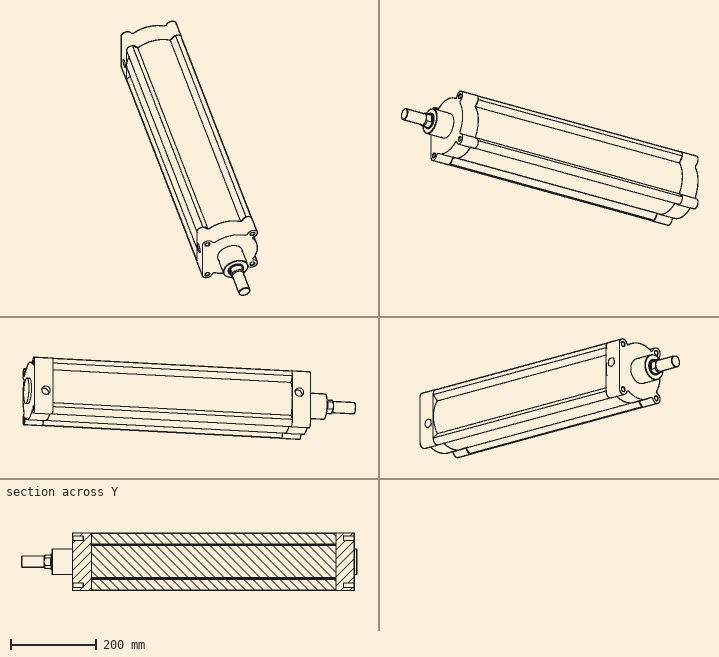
import cadquery as cq
import math


cap_length = 44.0
barrel_length = 572.0
rear_spigot_length = 6.0
front_boss_length = 47.8
collar_length = 2.0
shoulder_reach = 66.0
thread_length = 53.0

barrel_start = cap_length
front_cap_start = barrel_start + barrel_length
front_face = front_cap_start + cap_length
boss_end = front_face + front_boss_length
collar_end = boss_end + collar_length
shoulder = front_face + shoulder_reach

tie_offset = 55.0
tie_diagonal = tie_offset * math.sqrt(2)
tie_axes = [(y, z) for y in (-tie_offset, tie_offset) for z in (-tie_offset, tie_offset)]
cap_size = 135.0
cap_radius = cap_size / 2
cap_lobe_radius = cap_radius - tie_offset
cap_notch_fillet = 5.0
cap_crown = (10.3, 5.3, -5.3, -10.3)

barrel_radius = 67.0
barrel_lobe_radius = 12.1
barrel_web_width = 20.0
barrel_crown = (8.2, 0.0, -8.2)

boss_diameter = 60.0
boss_chamfer = 1.0
collar_diameter = 37.0

bolt_hole_diameter = 10.2
bolt_mouth_diameter = 12.0
bolt_hole_depth = 25.0
port_diameter = 20.0
port_depth = 20.0
port_inset = 27.0
port_height = 14.0

rod_diameter = 32.0
thread_diameter = 27.0
wrench_width = 27.0
round_neck_length = 2.0
flats_start = collar_end + round_neck_length
shoulder_chamfer = 2.4
thread_chamfer = 1.0


def section_plane(x):
    """Plane across the axis at x, with its local x along Y and local y along Z."""
    return cq.Workplane("YZ", origin=(x, 0, 0))


def crowned_disc(x, length, radius, crown):
    """Disc whose four sides are cut into narrow flats between the crown offsets."""
    def turned(offset, quarter):
        angle = math.asin(offset / radius) + quarter * math.pi / 2
        return (radius * math.cos(angle), radius * math.sin(angle))

    outline = section_plane(x).moveTo(*turned(crown[-1], 0))
    for quarter in range(4):
        for offset in reversed(crown[:-1]):
            outline = outline.lineTo(*turned(offset, quarter))
        diagonal = (quarter + 0.5) * math.pi / 2
        middle = (radius * math.cos(diagonal), radius * math.sin(diagonal))
        outline = outline.threePointArc(middle, turned(crown[-1], quarter + 1))
    return outline.close().extrude(length)


def is_notch(edge):
    """True for an edge where a cap lobe meets the round of the cap."""
    tolerance = 0.01
    middle = edge.Center()
    on_round = abs(math.hypot(middle.y, middle.z) - cap_radius) < tolerance
    return on_round and min(abs(middle.y), abs(middle.z)) > tie_offset / 2


def cap_block(x):
    """Cap without its holes: round with four lobes, and a flat port side facing -Y."""
    body = crowned_disc(x, cap_length, cap_radius, cap_crown)
    for y, z in tie_axes:
        body = body.union(section_plane(x).center(y, z).circle(cap_lobe_radius).extrude(cap_length))
    port_side_outline = [
        (0, 0),
        (-tie_offset, tie_offset),
        (-cap_radius, tie_offset),
        (-cap_radius, -tie_offset),
        (-tie_offset, -tie_offset),
    ]
    body = body.union(section_plane(x).polyline(port_side_outline).close().extrude(cap_length))
    notches = body.edges("|X").filter(is_notch)
    return body.newObject(notches.vals()).fillet(cap_notch_fillet)


def cut_port(cap, x, z):
    """Blind air port, drilled from the flat -Y side."""
    port = cq.Workplane("XZ", origin=(x, -cap_radius, z)).circle(port_diameter / 2).extrude(-port_depth)
    return cap.cut(port)


def cut_bolt_holes(cap, outer_face, inward):
    """Countersunk tie-bolt holes, drilled from the outer face in the direction inward (+1 or -1)."""
    hole_radius = bolt_hole_diameter / 2
    mouth_radius = bolt_mouth_diameter / 2
    mouth_depth = mouth_radius - hole_radius
    for y, z in tie_axes:
        start = cq.Vector(outer_face, y, z)
        axis = cq.Vector(inward, 0, 0)
        drilled = cq.Solid.makeCylinder(hole_radius, bolt_hole_depth, start, axis)
        mouth = cq.Solid.makeCone(mouth_radius, hole_radius, mouth_depth, start, axis)
        cap = cap.cut(cq.Workplane(drilled)).cut(cq.Workplane(mouth))
    return cap


def make_rear_cap():
    """Cap with a short round spigot on its rear face."""
    cap = cap_block(0)
    spigot = section_plane(-rear_spigot_length).circle(boss_diameter / 2).extrude(rear_spigot_length)
    cap = cap.union(spigot)
    cap = cut_bolt_holes(cap, 0, 1)
    return cut_port(cap, port_inset, -port_height)


def barrel_lobe(quarter):
    """Corner lobe: a web along a diagonal of the section, with a rounded outer end."""
    half_width = barrel_web_width / 2
    corner_reach = tie_diagonal + math.sqrt(barrel_lobe_radius**2 - half_width**2)
    lobe = (
        section_plane(barrel_start)
        .moveTo(0, -half_width)
        .lineTo(corner_reach, -half_width)
        .threePointArc((tie_diagonal + barrel_lobe_radius, 0), (corner_reach, half_width))
        .lineTo(0, half_width)
        .close()
        .extrude(barrel_length)
    )
    return lobe.rotate((0, 0, 0), (1, 0, 0), 45 + 90 * quarter)


def make_barrel():
    """Profiled body between the caps, with a lobe at each corner."""
    body = crowned_disc(barrel_start, barrel_length, barrel_radius, barrel_crown)
    for quarter in range(4):
        body = body.union(barrel_lobe(quarter))
    return body


def make_front_cap():
    """Cap with the rod boss and seal collar, bored through for the rod."""
    cap = cap_block(front_cap_start)
    boss = section_plane(front_face).circle(boss_diameter / 2).extrude(front_boss_length)
    cap = cap.union(boss.faces(">X").chamfer(boss_chamfer))
    cap = cap.union(section_plane(boss_end).circle(collar_diameter / 2).extrude(collar_length))
    cap = cut_bolt_holes(cap, front_face, -1)
    cap = cut_port(cap, front_face - port_inset, port_height)
    bore = section_plane(front_cap_start).circle(rod_diameter / 2).extrude(collar_end - front_cap_start)
    return cap.cut(bore)


def make_rod():
    """Rod from the barrel end to the tip, with wrench flats facing -Y and +Y and a threaded end."""
    rod = section_plane(front_cap_start).circle(rod_diameter / 2).extrude(shoulder - front_cap_start)
    rod = rod.faces(">X").chamfer(shoulder_chamfer)
    for side in (-1, 1):
        flat_center = side * (wrench_width + rod_diameter) / 2
        flat = section_plane(flats_start).center(flat_center, 0).rect(rod_diameter, rod_diameter)
        rod = rod.cut(flat.extrude(shoulder - flats_start))
    thread = section_plane(shoulder).circle(thread_diameter / 2).extrude(thread_length)
    return rod.union(thread.faces(">X").chamfer(thread_chamfer))


rear_cap = make_rear_cap()
barrel = make_barrel()
front_cap = make_front_cap()
rod = make_rod()

result = cq.Compound.makeCompound([rear_cap.val(), barrel.val(), front_cap.val(), rod.val()])